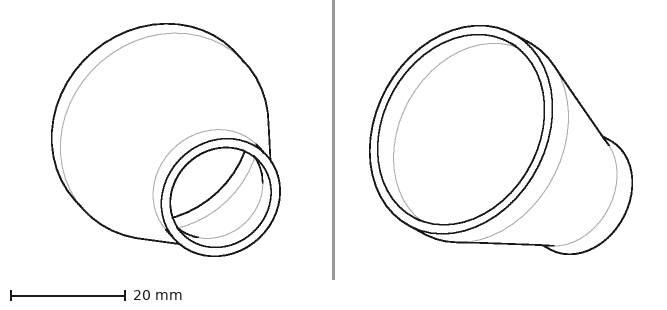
import cadquery as cq

large_diameter = 38.1
small_diameter = 21.7
large_bore = 34.8
wall = (large_diameter - large_bore) / 2
total_length = 38.0
collar_length = 5.0


def reducer_solid(large_radius, small_radius):
    """Solid with a cylinder at each end and a cone between them."""
    cone_end = total_length - collar_length
    return (
        cq.Workplane("XY")
        .moveTo(0, 0)
        .lineTo(0, large_radius)
        .lineTo(collar_length, large_radius)
        .lineTo(cone_end, small_radius)
        .lineTo(total_length, small_radius)
        .lineTo(total_length, 0)
        .close()
        .revolve(360, (0, 0, 0), (1, 0, 0))
    )


outside = reducer_solid(large_diameter / 2, small_diameter / 2)
inside = reducer_solid(large_diameter / 2 - wall, small_diameter / 2 - wall)
result = outside.cut(inside)